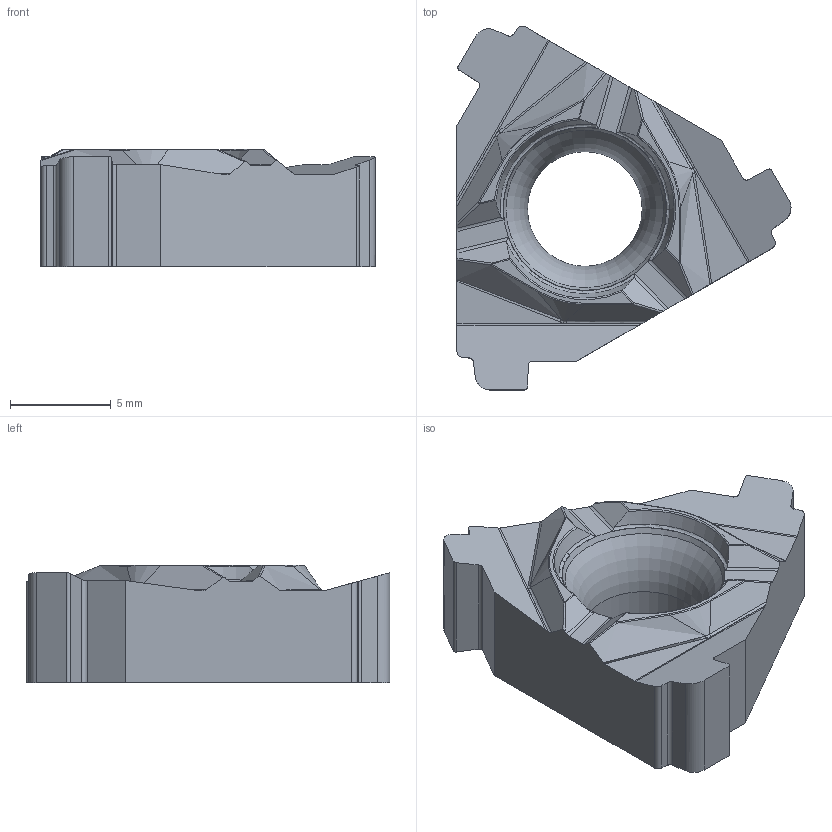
import cadquery as cq
import math

TOOTH_ANGLES = (0, 120, 240)
THICKNESS = 5.84
FLANK_DISTANCE = 6.35
REACH = 12.0
TOLERANCE = 0.01

TOOTH_TIP_Y = -8.99
SHOULDER_Y = -7.57
LEFT_STEP_OUTER_Y = -7.35
LEFT_STEP_INNER_Y = -7.42
TOOTH_LEFT_ROOT_X = -5.57
TOOTH_LEFT_TIP_X = -5.35
TOOTH_RIGHT_TIP_X = -2.85
TOOTH_RIGHT_ROOT_X = -2.8
NOSE_RADIUS = 0.72
TIP_RADIUS = 0.14
ROOT_RADIUS = 0.2
CORNER_RADIUS = 0.28

FLOOR_Z = 4.575
RAKE_FOOT_Y = -5.73
RAKE_ANGLE = 15.3
RAKE_FOOT_RADIUS = 0.35
WALL_FOOT_DISTANCE = 5.6
WALL_FOOT_TURN = 21.0
WALL_FOOT_RADIUS = 0.4
WALL_TOP_DISTANCE = 4.73
WALL_TOP_TURN = 30.0
WALL_BLEND_RADIUS = 0.15

CHANNEL_ANGLE = 194
CHANNEL_FLOOR_Z = 5.02
CHANNEL_FLOOR_WIDTH = 1.07
CHANNEL_WALL_LEAN = 50.0
CHANNEL_BLEND_RADIUS = 0.25
CHANNEL_START = 3.0

HOLE_RADIUS = 5.7 / 2
SEAT_ARC_RADIUS = 4.13
SEAT_RIM_RADIUS = 3.92
SEAT_RIM_Z = 4.75
LEDGE_INNER_RADIUS = 4.05
LEDGE_OUTER_RADIUS = 4.18
LEDGE_Z = CHANNEL_FLOOR_Z
RECESS_TOP_RADIUS = 4.46
RECESS_BLEND_RADIUS = 0.16

EDGE_ROUNDING = 0.08
RIDGE_NEAR = 5.6
RIDGE_FAR = 6.2


def turned(x, y, angle):
    """Point (x, y) turned about the hole axis."""
    c = math.cos(math.radians(angle))
    s = math.sin(math.radians(angle))
    return (x * c - y * s, x * s + y * c)


def around(shape, angle):
    return shape.rotate((0, 0, 0), (0, 0, 1), angle)


def make_blank():
    side = math.radians(60)
    shoulder_end_x = (FLANK_DISTANCE + SHOULDER_Y * math.sin(side)) / math.cos(side)
    corners = [
        (-FLANK_DISTANCE, LEFT_STEP_OUTER_Y, CORNER_RADIUS),
        (TOOTH_LEFT_ROOT_X, LEFT_STEP_INNER_Y, ROOT_RADIUS),
        (TOOTH_LEFT_TIP_X, TOOTH_TIP_Y, NOSE_RADIUS),
        (TOOTH_RIGHT_TIP_X, TOOTH_TIP_Y, TIP_RADIUS),
        (TOOTH_RIGHT_ROOT_X, SHOULDER_Y, ROOT_RADIUS),
        (shoulder_end_x, SHOULDER_Y, 0),
    ]
    outline = [turned(x, y, angle) for angle in TOOTH_ANGLES for x, y, _ in corners]
    blank = cq.Workplane("XY").polyline(outline).close().extrude(THICKNESS)
    for angle in TOOTH_ANGLES:
        for x, y, radius in corners:
            if radius:
                middle = (*turned(x, y, angle), THICKNESS / 2)
                blank = blank.edges(cq.NearestToPointSelector(middle)).fillet(radius)
    return blank


def wall_section(plane, distance, turn, corner_radius):
    """Area outside a wall line that runs along X and turns toward +Y on its -X side.

    Both straight runs lie at the same distance from the hole axis.
    """
    half_turn = math.radians(turn / 2)
    corner_x = -distance * math.tan(half_turn)
    tangent = corner_radius * math.tan(half_turn)
    slope = math.radians(turn)
    arc_left = (corner_x - tangent * math.cos(slope), -distance + tangent * math.sin(slope))
    arc_right = (corner_x + tangent, -distance)
    sag = corner_radius * (1 / math.cos(half_turn) - 1)
    arc_middle = (corner_x + sag * math.sin(half_turn), -distance + sag * math.cos(half_turn))
    far_left = (-REACH, -distance + (REACH + corner_x) * math.tan(slope))
    return (
        plane.moveTo(*far_left)
        .lineTo(*arc_left)
        .threePointArc(arc_middle, arc_right)
        .lineTo(REACH, -distance)
        .lineTo(REACH, -REACH)
        .lineTo(-REACH, -REACH)
        .close()
    )


def is_wall_foot(edge):
    """False for the straight edges along the cutter's far sides, outside the part."""
    middle = edge.Center()
    return abs(middle.x) < REACH - TOLERANCE and middle.y > -REACH + TOLERANCE


def make_pocket():
    foot = wall_section(
        cq.Workplane("XY").workplane(offset=FLOOR_Z), WALL_FOOT_DISTANCE, WALL_FOOT_TURN, WALL_FOOT_RADIUS
    )
    top = wall_section(
        foot.workplane(offset=THICKNESS - FLOOR_Z), WALL_TOP_DISTANCE, WALL_TOP_TURN, WALL_TOP_DISTANCE
    )
    pocket = top.loft(ruled=True)
    pocket = pocket.faces("<Z").edges().filter(is_wall_foot).fillet(WALL_BLEND_RADIUS)
    slope = math.radians(RAKE_ANGLE)
    rise = (REACH + RAKE_FOOT_Y) * math.tan(slope)
    foot_tangent = RAKE_FOOT_RADIUS * math.tan(slope / 2)
    blend_start = (RAKE_FOOT_Y + foot_tangent, FLOOR_Z)
    blend_end = (RAKE_FOOT_Y - foot_tangent * math.cos(slope), FLOOR_Z + foot_tangent * math.sin(slope))
    blend_middle = (
        blend_start[0] - RAKE_FOOT_RADIUS * math.sin(slope / 2),
        FLOOR_Z + RAKE_FOOT_RADIUS * (1 - math.cos(slope / 2)),
    )
    rake_land = (
        cq.Workplane("YZ", origin=(-REACH, 0, 0))
        .moveTo(*blend_start)
        .threePointArc(blend_middle, blend_end)
        .lineTo(-REACH, FLOOR_Z + rise)
        .lineTo(-REACH, 0)
        .lineTo(blend_start[0], 0)
        .close()
        .extrude(2 * REACH)
    )
    return pocket.cut(rake_land)


def make_channel():
    half_floor = CHANNEL_FLOOR_WIDTH / 2
    half_top = half_floor + (THICKNESS - CHANNEL_FLOOR_Z) * math.tan(math.radians(CHANNEL_WALL_LEAN))
    channel = (
        cq.Workplane("YZ", origin=(CHANNEL_START, 0, 0))
        .moveTo(-half_top, THICKNESS)
        .lineTo(-half_floor, CHANNEL_FLOOR_Z)
        .lineTo(half_floor, CHANNEL_FLOOR_Z)
        .lineTo(half_top, THICKNESS)
        .close()
        .extrude(REACH - CHANNEL_START)
        .edges("|X and <Z")
        .fillet(CHANNEL_BLEND_RADIUS)
    )
    return around(channel, CHANNEL_ANGLE)


def make_screw_seat():
    """Hole, convex seat tangent to it, narrow ledge and coned recess, as one turned cutter."""
    swing = math.acos(1 - (SEAT_RIM_RADIUS - HOLE_RADIUS) / SEAT_ARC_RADIUS)
    seat_bottom_z = SEAT_RIM_Z - SEAT_ARC_RADIUS * math.sin(swing)
    seat_middle = (
        HOLE_RADIUS + SEAT_ARC_RADIUS * (1 - math.cos(swing / 2)),
        seat_bottom_z + SEAT_ARC_RADIUS * math.sin(swing / 2),
    )
    cutter = (
        cq.Workplane("XZ")
        .lineTo(HOLE_RADIUS, 0)
        .lineTo(HOLE_RADIUS, seat_bottom_z)
        .threePointArc(seat_middle, (SEAT_RIM_RADIUS, SEAT_RIM_Z))
        .lineTo(LEDGE_INNER_RADIUS, LEDGE_Z)
        .lineTo(LEDGE_OUTER_RADIUS, LEDGE_Z)
        .lineTo(RECESS_TOP_RADIUS, THICKNESS)
        .lineTo(0, THICKNESS)
        .close()
        .revolve(360, (0, 0, 0), (0, 1, 0))
    )
    return cutter.edges(cq.selectors.RadiusNthSelector(-2)).fillet(RECESS_BLEND_RADIUS)


def is_ridge(edge):
    """True for an edge where a channel side meets a pocket wall, close inside a flank."""
    middle = edge.Center()
    radius = math.hypot(middle.x, middle.y)
    return RIDGE_NEAR < radius < RIDGE_FAR and middle.z > CHANNEL_FLOOR_Z


def round_raised_edges(body):
    flat_edges = body.faces(">Z").edges()
    return flat_edges.add(body.edges().filter(is_ridge)).fillet(EDGE_ROUNDING)


pocket = make_pocket()
channel = make_channel()
result = make_blank().cut(make_screw_seat())
for angle in TOOTH_ANGLES:
    result = result.cut(around(pocket, angle)).cut(around(channel, angle))
result = round_raised_edges(result)